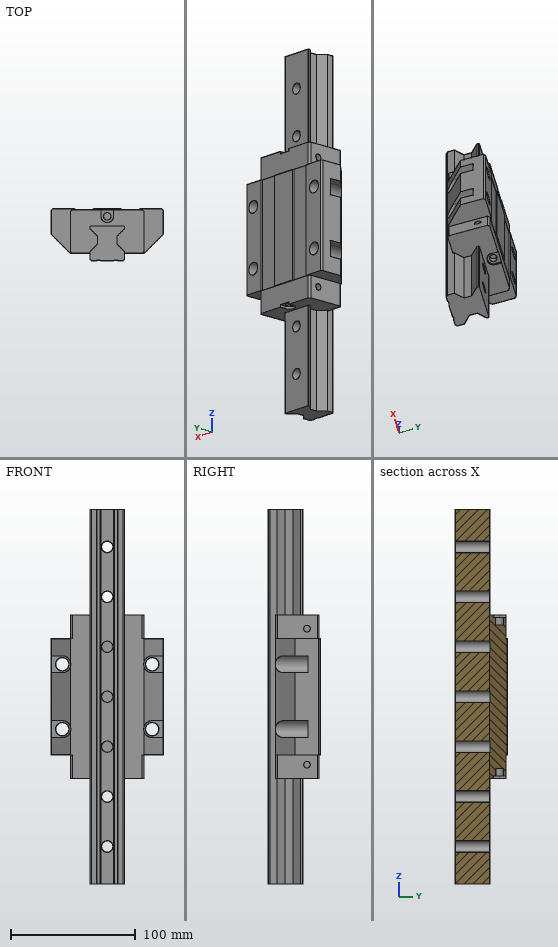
import cadquery as cq


rail_length = 300.0
rail_height = 28.0
rail_half_width = 14.0
rail_foot_chamfer = 1.5
rail_head_chamfer = 0.5
flank_depth = 6.1
neck_half_width = rail_half_width - flank_depth
foot_side_top = 7.3
head_side_bottom = 26.0
neck_bottom = foot_side_top + flank_depth
neck_top = head_side_bottom - flank_depth

foot_groove_inner = 5.2
foot_groove_outer = 8.7
foot_groove_depth = 0.5

rail_hole_diameter = 9.0
rail_hole_pitch = 40.0
rail_hole_count = 7

carriage_top = 42.0
carriage_bottom = 6.0
flange_half_width = 45.0
flange_length = 93.0
flange_chamfer_start = 21.5
flange_top_chamfer = 1.5

core_half_width = 29.5
carriage_length = 131.0
cap_drop = 1.0
cap_top = carriage_top - cap_drop
cap_top_chamfer = 1.5
cap_bottom_chamfer = 1.5

relief_inner = 10.8
relief_outer = 26.5
relief_depth = 0.8

mount_spacing_x = 72.0
mount_spacing_z = 52.0
mount_hole_diameter = 10.5
mount_pocket_width = 13.6
flange_thickness = 10.0
mount_seat = carriage_top - flange_thickness

side_port_diameter = 5.3
side_port_depth = 5.0
side_port_height = 31.2
side_port_inset = 11.0

end_port_height = 35.7
end_port_diameter = 6.0
end_port_depth = 8.0
end_recess_width = 10.0
end_recess_depth = 2.0


def prism(half_outline, length):
    """Mirror a half outline (X >= 0) across X = 0 and extrude it along Z, centred on Z = 0."""
    mirrored = [(-x, y) for x, y in reversed(half_outline)]
    return cq.Workplane("XY").polyline(half_outline + mirrored).close().extrude(length / 2, both=True)


def box(x_range, y_range, z_range):
    """Axis-aligned block from its limits along each axis."""
    size = [high - low for low, high in (x_range, y_range, z_range)]
    corner = (x_range[0], y_range[0], z_range[0])
    return cq.Workplane("XY").box(*size, centered=False).translate(corner)


def cylinder_along_y(diameter, x, z, y_start, y_end):
    """Cylinder running along Y between two heights."""
    start = cq.Vector(x, y_start, z)
    return cq.Workplane(cq.Solid.makeCylinder(diameter / 2, y_end - y_start, start, cq.Vector(0, 1, 0)))


def rail_blank():
    """Waisted rail section with two shallow grooves along the foot."""
    return prism(
        [
            (foot_groove_inner, 0),
            (foot_groove_inner + foot_groove_depth, foot_groove_depth),
            (foot_groove_outer - foot_groove_depth, foot_groove_depth),
            (foot_groove_outer, 0),
            (rail_half_width - rail_foot_chamfer, 0),
            (rail_half_width, rail_foot_chamfer),
            (rail_half_width, foot_side_top),
            (neck_half_width, neck_bottom),
            (neck_half_width, neck_top),
            (rail_half_width, head_side_bottom),
            (rail_half_width, rail_height - rail_head_chamfer),
            (rail_half_width - rail_head_chamfer, rail_height),
        ],
        rail_length,
    )


def rail_envelope():
    """Rail section without foot grooves, used to open the carriage."""
    foot_fill = box(
        (-foot_groove_outer, foot_groove_outer),
        (0, foot_groove_depth),
        (-rail_length / 2, rail_length / 2),
    )
    return rail_blank().union(foot_fill)


def make_rail():
    rail = rail_blank()
    for index in range(rail_hole_count):
        z = (index - (rail_hole_count - 1) / 2) * rail_hole_pitch
        rail = rail.cut(cylinder_along_y(rail_hole_diameter, 0, z, 0, rail_height))
    return rail


def carriage_blank():
    """Flanged block joined to the longer, narrower section that forms both end caps."""
    flanged_block = prism(
        [
            (core_half_width, carriage_bottom),
            (flange_half_width, flange_chamfer_start),
            (flange_half_width, carriage_top - flange_top_chamfer),
            (flange_half_width - flange_top_chamfer, carriage_top),
            (relief_outer, carriage_top),
            (relief_outer - relief_depth, carriage_top - relief_depth),
            (relief_inner + relief_depth, carriage_top - relief_depth),
            (relief_inner, carriage_top),
        ],
        flange_length,
    )
    end_cap_section = prism(
        [
            (core_half_width - cap_bottom_chamfer, carriage_bottom),
            (core_half_width, carriage_bottom + cap_bottom_chamfer),
            (core_half_width, cap_top - cap_top_chamfer),
            (core_half_width - cap_top_chamfer, cap_top),
        ],
        carriage_length,
    )
    return flanged_block.union(end_cap_section)


def mount_cut(side, z):
    """Bolt hole through a flange and its round-ended seat pocket, open to the outside."""
    x = side * mount_spacing_x / 2
    hole = cylinder_along_y(mount_hole_diameter, x, z, carriage_bottom, carriage_top)
    round_end = cylinder_along_y(mount_pocket_width, x, z, carriage_bottom, mount_seat)
    open_end = box(
        sorted((x, side * flange_half_width)),
        (carriage_bottom, mount_seat),
        (z - mount_pocket_width / 2, z + mount_pocket_width / 2),
    )
    return hole.union(round_end).union(open_end)


def side_port(side, end):
    """Blind port in the side of an end cap."""
    z = end * (carriage_length / 2 - side_port_inset)
    mouth = cq.Vector(side * core_half_width, side_port_height, z)
    return cq.Solid.makeCylinder(side_port_diameter / 2, side_port_depth, mouth, cq.Vector(-side, 0, 0))


def end_port(end):
    """Blind port in an end face, inside a U-shaped recess open to the top of the cap."""
    face_z = end * carriage_length / 2
    mouth = cq.Vector(0, end_port_height, face_z)
    inward = cq.Vector(0, 0, -end)
    port = cq.Solid.makeCylinder(end_port_diameter / 2, end_port_depth, mouth, inward)
    round_end = cq.Solid.makeCylinder(end_recess_width / 2, end_recess_depth, mouth, inward)
    open_end = box(
        (-end_recess_width / 2, end_recess_width / 2),
        (end_port_height, cap_top),
        sorted((face_z, face_z - end * end_recess_depth)),
    )
    return open_end.union(cq.Workplane(round_end)).union(cq.Workplane(port))


def make_carriage():
    carriage = carriage_blank().cut(rail_envelope())
    for end in (-1, 1):
        carriage = carriage.cut(end_port(end))
        for side in (-1, 1):
            carriage = carriage.cut(mount_cut(side, end * mount_spacing_z / 2))
            carriage = carriage.cut(cq.Workplane(side_port(side, end)))
    return carriage


rail = make_rail()
carriage = make_carriage()

result = cq.Compound.makeCompound([rail.val(), carriage.val()])